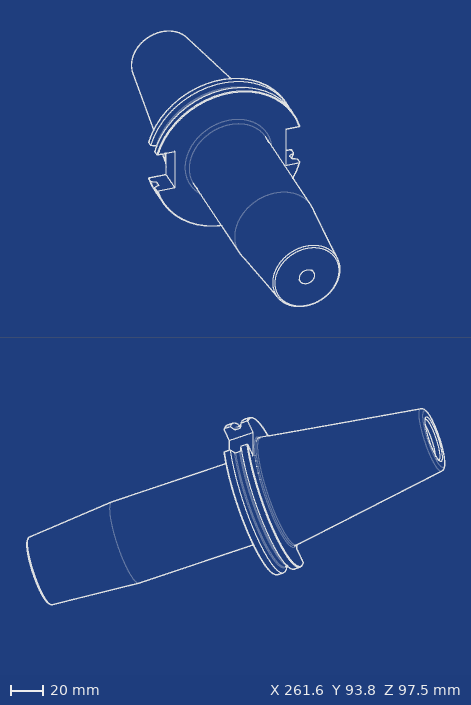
import cadquery as cq
import math

TAPER_LENGTH = 101.6
GAUGE_TO_NOSE = 160.02
FLANGE_START = 3.175
FLANGE_END = 19.05
NOSE_CONE_LENGTH = 57.3

GAUGE_DIAMETER = 69.85
TAPER_RATIO = 7 / 24
TAPER_END_ROUND = 2.0
COLLAR_DIAMETER = 70.2
COLLAR_FILLET = 0.8

FLANGE_DIAMETER = 97.5
FLANGE_CHAMFER = 0.5
FLANGE_MIDDLE = (FLANGE_START + FLANGE_END) / 2
GROOVE_BOTTOM_DIAMETER = 91.1
GROOVE_BOTTOM_WIDTH = 3.4
GROOVE_ROOT_FILLET = 0.8
GROOVE_FLANK_ANGLE = 30.0

SLOT_WIDTH = 26.6
SLOT_FLOOR_PLUS_Y = 37.72
SLOT_FLOOR_MINUS_Y = 35.3

SHANK_DIAMETER = 53.0
SHANK_FILLET = 2.0
NOSE_END_DIAMETER = 44.0
NOSE_CHAMFER = 1.0

MOUTH_DIAMETER = 29.0
COUNTERBORE_DIAMETER = 26.7
COUNTERBORE_DEPTH = 4.0
PILOT_DIAMETER = 26.2
PILOT_DEPTH = 6.0
THREAD_BORE_DIAMETER = 22.23
THREAD_BORE_DEPTH = 45.0
THROUGH_HOLE_DIAMETER = 10.0
DRILL_POINT_ANGLE = 118.0

FULL_TURN = 360.0
AXIS_START = (0, 0, 0)
AXIS_END = (1, 0, 0)


def revolve_about_x(profile):
    """Turn a closed half outline (X along the axis, Y as radius) about the X axis."""
    return profile.close().revolve(FULL_TURN, AXIS_START, AXIS_END)


def make_taper():
    small_radius = (GAUGE_DIAMETER - TAPER_RATIO * TAPER_LENGTH) / 2
    collar_radius = COLLAR_DIAMETER / 2
    collar_start = (COLLAR_DIAMETER - GAUGE_DIAMETER) / TAPER_RATIO
    taper = revolve_about_x(
        cq.Workplane("XY")
        .moveTo(-TAPER_LENGTH, 0)
        .lineTo(-TAPER_LENGTH, small_radius)
        .lineTo(collar_start, collar_radius)
        .lineTo(FLANGE_START - COLLAR_FILLET, collar_radius)
        .radiusArc((FLANGE_START, collar_radius + COLLAR_FILLET), -COLLAR_FILLET)
        .lineTo(FLANGE_START, 0)
    )
    return taper.faces("<X").edges().fillet(TAPER_END_ROUND)


def make_flange():
    flange = (
        cq.Workplane("YZ", origin=(FLANGE_START, 0, 0))
        .circle(FLANGE_DIAMETER / 2)
        .extrude(FLANGE_END - FLANGE_START)
        .edges()
        .chamfer(FLANGE_CHAMFER)
    )
    return flange.cut(make_gripper_groove()).cut(make_drive_slots())


def make_gripper_groove():
    outer_radius = FLANGE_DIAMETER / 2
    bottom_radius = GROOVE_BOTTOM_DIAMETER / 2
    bottom_half_width = GROOVE_BOTTOM_WIDTH / 2
    flank_run = (outer_radius - bottom_radius) * math.tan(math.radians(GROOVE_FLANK_ANGLE))
    top_half_width = bottom_half_width + flank_run
    groove = revolve_about_x(
        cq.Workplane("XY")
        .moveTo(FLANGE_MIDDLE - top_half_width, outer_radius)
        .lineTo(FLANGE_MIDDLE - bottom_half_width, bottom_radius)
        .lineTo(FLANGE_MIDDLE + bottom_half_width, bottom_radius)
        .lineTo(FLANGE_MIDDLE + top_half_width, outer_radius)
    )
    root_edges = cq.selectors.RadiusNthSelector(0)
    return groove.edges(root_edges).fillet(GROOVE_ROOT_FILLET)


def make_drive_slots():
    slots = cq.Workplane("XY")
    for side, floor in ((1, SLOT_FLOOR_PLUS_Y), (-1, SLOT_FLOOR_MINUS_Y)):
        depth = FLANGE_DIAMETER / 2 - floor
        slot = cq.Workplane("XY").box(FLANGE_END - FLANGE_START, depth, SLOT_WIDTH)
        slot_centre = (FLANGE_MIDDLE, side * (floor + depth / 2), 0)
        slots = slots.add(slot.translate(slot_centre))
    return slots.combine()


def make_shank():
    shank_radius = SHANK_DIAMETER / 2
    shank = revolve_about_x(
        cq.Workplane("XY")
        .moveTo(FLANGE_END, 0)
        .lineTo(FLANGE_END, shank_radius + SHANK_FILLET)
        .radiusArc((FLANGE_END + SHANK_FILLET, shank_radius), -SHANK_FILLET)
        .lineTo(GAUGE_TO_NOSE - NOSE_CONE_LENGTH, shank_radius)
        .lineTo(GAUGE_TO_NOSE, NOSE_END_DIAMETER / 2)
        .lineTo(GAUGE_TO_NOSE, 0)
    )
    return shank.faces(">X").edges().chamfer(NOSE_CHAMFER)


def make_bore():
    mouth_radius = MOUTH_DIAMETER / 2
    counterbore_radius = COUNTERBORE_DIAMETER / 2
    pilot_radius = PILOT_DIAMETER / 2
    thread_radius = THREAD_BORE_DIAMETER / 2
    hole_radius = THROUGH_HOLE_DIAMETER / 2
    mouth_end = -TAPER_LENGTH + mouth_radius - counterbore_radius
    counterbore_end = -TAPER_LENGTH + COUNTERBORE_DEPTH
    pilot_end = -TAPER_LENGTH + PILOT_DEPTH
    entry_end = pilot_end + pilot_radius - thread_radius
    thread_end = -TAPER_LENGTH + THREAD_BORE_DEPTH
    point_length = (thread_radius - hole_radius) / math.tan(math.radians(DRILL_POINT_ANGLE / 2))
    return revolve_about_x(
        cq.Workplane("XY")
        .moveTo(-TAPER_LENGTH, 0)
        .lineTo(-TAPER_LENGTH, mouth_radius)
        .lineTo(mouth_end, counterbore_radius)
        .lineTo(counterbore_end, counterbore_radius)
        .lineTo(counterbore_end, pilot_radius)
        .lineTo(pilot_end, pilot_radius)
        .lineTo(entry_end, thread_radius)
        .lineTo(thread_end, thread_radius)
        .lineTo(thread_end + point_length, hole_radius)
        .lineTo(GAUGE_TO_NOSE, hole_radius)
        .lineTo(GAUGE_TO_NOSE, 0)
    )


result = make_taper().union(make_flange()).union(make_shank()).cut(make_bore())